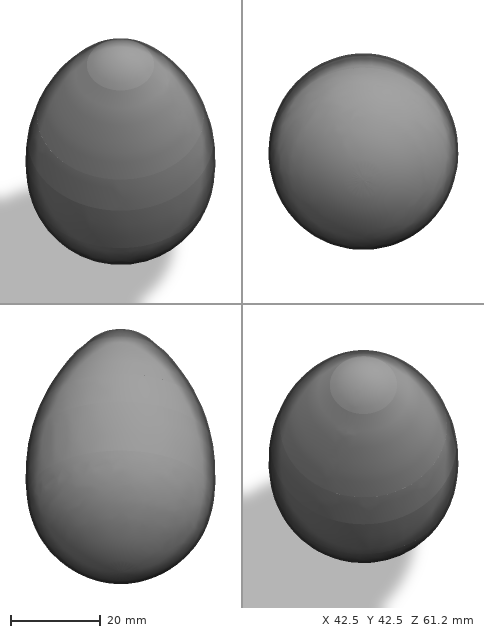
import cadquery as cq

height = 61.2
max_radius = 21.25
widest_z = 24.2

base_joint_z = 19.45
belly_joint_z = 32.2
shoulder_joint_z = 40.5
cap_joint_z = 58.2
cap_joint_radius = 7.5

cap_rise = height - cap_joint_z
cap_sphere_radius = (cap_joint_radius**2 + cap_rise**2) / (2 * cap_rise)

shell_points = [
    (0, 0),
    (11.4, 3.7),
    (17.4, 9.6),
    (20.5, 16.95),
    (max_radius, widest_z),
    (20.75, belly_joint_z),
    (18.65, shoulder_joint_z),
    (15.25, 47.9),
    (11.45, 53.85),
    (cap_joint_radius, cap_joint_z),
]
pole_direction = (1, 0)
rim_direction = (-0.85, 1)


def egg_shape():
    """Solid of revolution of the whole egg about the Z axis."""
    mid_depth = cap_rise / 2
    mid_radius = (2 * cap_sphere_radius * mid_depth - mid_depth**2) ** 0.5
    return (
        cq.Workplane("XZ")
        .spline(shell_points, tangents=[pole_direction, rim_direction])
        .threePointArc((mid_radius, height - mid_depth), (0, height))
        .close()
        .revolve(360, (0, 0), (0, 1))
    )


def egg_slice(bottom_z, top_z):
    """Part of the egg between two horizontal planes."""
    slab = (
        cq.Workplane("XY")
        .workplane(offset=bottom_z)
        .circle(2 * max_radius)
        .extrude(top_z - bottom_z)
    )
    return egg_shape().intersect(slab).solids()


base = egg_slice(0, base_joint_z)
belly = egg_slice(base_joint_z, belly_joint_z)
shoulder = egg_slice(belly_joint_z, shoulder_joint_z)
upper = egg_slice(shoulder_joint_z, cap_joint_z)
cap = egg_slice(cap_joint_z, height)

result = cq.Compound.makeCompound([
    base.val(),
    belly.val(),
    shoulder.val(),
    upper.val(),
    cap.val(),
])